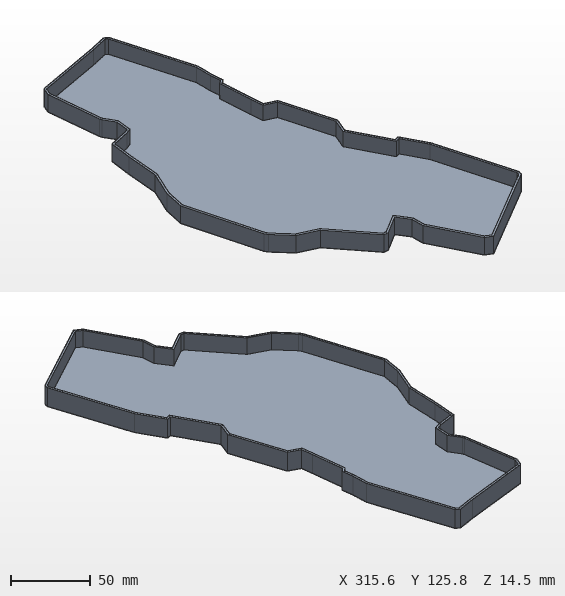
import cadquery as cq

height = 14.5

wall = 1.48
floor_thickness = 2.0

left_lower_edge = [
    (-157.8, 0.5),
    (-157.5, -0.3),
    (-153.0, -3.8),
    (-113.5, -10.5),
    (-112.0, -10.5),
    (-102.5, -8.2),
    (-93.7, -11.7),
    (-93.7, -14.8),
    (-96.0, -28.5),
    (-80.8, -34.7),
    (-58.5, -43.0),
    (-44.0, -55.5),
    (-30.5, -62.5),
]
right_lower_edge = [
    (28.0, -63.0),
    (31.0, -62.5),
    (46.7, -55.5),
    (58.0, -44.2),
    (95.5, -30.3),
    (97.2, -27.0),
    (94.0, -12.0),
    (104.8, -9.0),
    (113.5, -11.5),
    (153.0, -4.5),
    (157.8, -0.5),
]
right_upper_edge = [
    (146.5, 60.5),
    (144.0, 62.2),
    (82.5, 62.2),
    (61.2, 58.0),
    (61.0, 55.0),
    (28.5, 49.0),
    (20.2, 55.5),
]
left_upper_edge = [
    (-21.8, 55.5),
    (-28.5, 49.0),
    (-37.0, 50.5),
    (-60.5, 55.2),
    (-61.5, 58.0),
    (-70.0, 59.5),
    (-81.5, 62.8),
    (-143.5, 62.5),
    (-146.5, 60.5),
    (-148.3, 48.0),
]
outline = left_lower_edge + right_lower_edge + right_upper_edge + left_upper_edge


def tray_body():
    """Solid plate with the full outer outline."""
    return cq.Workplane("XY").polyline(outline).close().extrude(height)


def tray_pocket():
    """Open-topped space inside the wall, above the floor."""
    return (
        cq.Workplane("XY", origin=(0, 0, floor_thickness))
        .polyline(outline)
        .close()
        .offset2D(-wall, "intersection")
        .extrude(height - floor_thickness)
    )


result = tray_body().cut(tray_pocket())